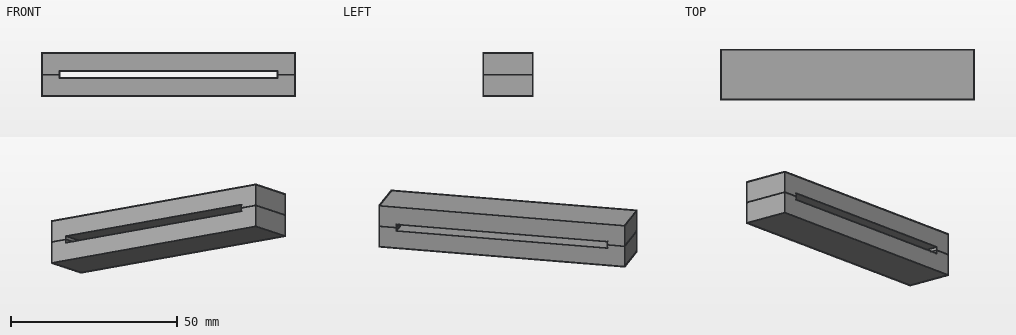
import cadquery as cq

LENGTH = 76.2
DEPTH = 15.0
HEIGHT = 13.0
END_LAND = 5.3
SLOT_HEIGHT = 2.05

half_height = HEIGHT / 2
slot_length = LENGTH - 2 * END_LAND
recess_depth = SLOT_HEIGHT / 2


def slot_cutter():
    """Through slot along Y, centred on the parting plane Z = 0."""
    return cq.Workplane("XY").box(slot_length, DEPTH, 2 * recess_depth)


def half_block(bottom):
    """Rectangular half starting at Z = bottom, recessed at the parting plane."""
    block = cq.Workplane("XY").box(LENGTH, DEPTH, half_height, centered=(True, True, False))
    return block.translate((0, 0, bottom)).cut(slot_cutter())


lower_half = half_block(-half_height)
upper_half = half_block(0)

result = cq.Compound.makeCompound([lower_half.val(), upper_half.val()])